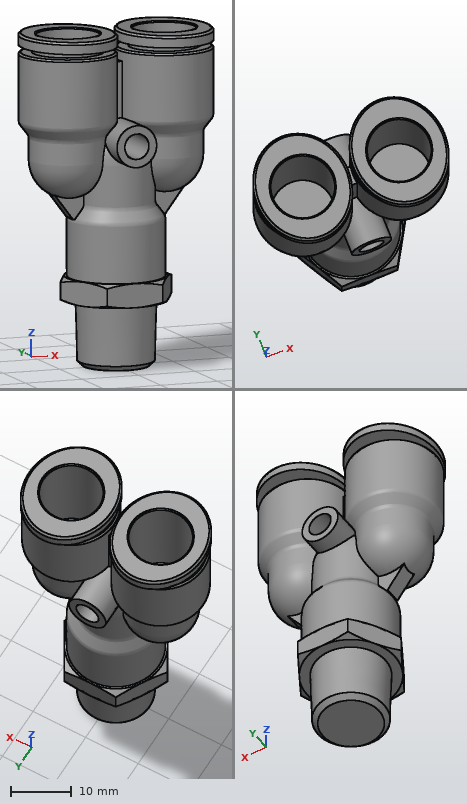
import cadquery as cq
import math

total_height = 56.0
leg_spacing = 17.0

wide_diameter = 16.3
wide_radius = wide_diameter / 2
narrow_radius = 6.5
flare_height = 2.1
flare_fillet = 1.1
flare_margin = 0.05

thread_length = 11.0
thread_top_radius = 6.7
thread_end_radius = 6.45
thread_chamfer_height = 0.9
thread_tip_radius = 5.5

hex_flats = 17.0
hex_height = 4.05
hex_corner_drop = 0.55

stem_base = thread_length + hex_height
stem_wide_length = 9.9
stem_narrow_length = 7.35

collar_length_x = 16.0
collar_length_y = 18.55
collar_height = 1.95
collar_chamfer = 0.4
neck_radius = 5.95
neck_height = 1.1
leg_top = total_height - collar_height - neck_height
leg_wide_length = 11.8
leg_narrow_length = 4.0
leg_rim_chamfer = 0.35
bore_radius = 5.25
bore_depth = 16.8
bore_chamfer = 0.2

lug_diameter = 7.0
lug_length = 18.7
lug_height = 38.0
lug_hole_diameter = 4.25

rib_thickness = 3.0
web_top = 50.95
gusset_start_drop = 0.1
gusset_slope = math.radians(53)


def domed_sleeve(wide_length, narrow_length):
    """Wide cylinder standing on Z = 0, flaring in to a narrow one with a round end."""
    flare_end = wide_length + flare_height
    dome_center = flare_end + narrow_length
    dome_mid = narrow_radius * math.sqrt(0.5)
    sleeve = (
        cq.Workplane("XZ")
        .lineTo(wide_radius, 0)
        .lineTo(wide_radius, wide_length)
        .lineTo(narrow_radius, flare_end)
        .lineTo(narrow_radius, dome_center)
        .threePointArc((dome_mid, dome_center + dome_mid), (0, dome_center + narrow_radius))
        .close()
        .revolve(360, (0, 0, 0), (0, 1, 0))
    )
    reach = 2 * wide_radius
    flare_zone = cq.selectors.BoxSelector(
        (-reach, -reach, wide_length - flare_margin),
        (reach, reach, flare_end + flare_margin),
        boundingbox=True,
    )
    flare_edges = sleeve.edges(flare_zone).edges("%CIRCLE")
    return flare_edges.fillet(flare_fillet)


def threaded_end():
    return (
        cq.Workplane("XZ")
        .lineTo(thread_tip_radius, 0)
        .lineTo(thread_end_radius, thread_chamfer_height)
        .lineTo(thread_top_radius, thread_length)
        .lineTo(0, thread_length)
        .close()
        .revolve(360, (0, 0, 0), (0, 1, 0))
    )


def hex_nut():
    flat_radius = hex_flats / 2
    corner_radius = flat_radius / math.cos(math.pi / 6)
    prism = (
        cq.Workplane("XY")
        .polygon(6, 2 * corner_radius)
        .extrude(hex_height)
    )
    corner_trim = (
        cq.Workplane("XZ")
        .lineTo(flat_radius, 0)
        .lineTo(corner_radius, hex_corner_drop)
        .lineTo(corner_radius, hex_height - hex_corner_drop)
        .lineTo(flat_radius, hex_height)
        .lineTo(0, hex_height)
        .close()
        .revolve(360, (0, 0, 0), (0, 1, 0))
    )
    return prism.intersect(corner_trim).translate((0, 0, thread_length))


def socket_leg(x):
    """Leg with its round end down, topped by a neck and an oval release collar."""
    sleeve = (
        domed_sleeve(leg_wide_length, leg_narrow_length)
        .rotate((0, 0, 0), (1, 0, 0), 180)
        .faces(">Z")
        .edges()
        .chamfer(leg_rim_chamfer)
        .translate((0, 0, leg_top))
    )
    neck = (
        cq.Workplane("XY", origin=(0, 0, leg_top))
        .circle(neck_radius)
        .extrude(neck_height)
    )
    collar = (
        cq.Workplane("XY", origin=(0, 0, leg_top + neck_height))
        .ellipse(collar_length_x / 2, collar_length_y / 2)
        .extrude(collar_height)
        .faces(">Z")
        .edges()
        .chamfer(collar_chamfer)
    )
    return sleeve.union(neck).union(collar).translate((x, 0, 0))


def socket_bore(x):
    bore = (
        cq.Workplane("XY", origin=(x, 0, total_height))
        .circle(bore_radius)
        .extrude(-bore_depth)
    )
    lead_in = (
        cq.Workplane("XY", origin=(x, 0, total_height))
        .circle(bore_radius + bore_chamfer)
        .workplane(offset=-bore_chamfer)
        .circle(bore_radius)
        .loft()
    )
    return bore.union(lead_in)


def rib_web():
    """Flat web between the legs, spreading into gussets under their round ends."""
    leg_dome_center = leg_top - leg_wide_length - flare_height - leg_narrow_length
    gusset_top = leg_dome_center - narrow_radius / 2
    foot = stem_base + stem_wide_length + gusset_start_drop
    gusset_reach = (gusset_top - foot) / math.tan(gusset_slope)
    gusset_x = wide_radius + gusset_reach
    gusset = (
        cq.Workplane("XZ")
        .moveTo(-wide_radius, foot)
        .lineTo(wide_radius, foot)
        .lineTo(gusset_x, gusset_top)
        .lineTo(-gusset_x, gusset_top)
        .close()
        .extrude(rib_thickness / 2, both=True)
    )
    web = (
        cq.Workplane("XY", origin=(0, 0, gusset_top))
        .rect(leg_spacing, rib_thickness)
        .extrude(web_top - gusset_top)
    )
    return gusset.union(web)


def lug_cylinder(diameter):
    return (
        cq.Workplane("XZ", origin=(0, 0, lug_height))
        .circle(diameter / 2)
        .extrude(lug_length / 2, both=True)
    )


stem = domed_sleeve(stem_wide_length, stem_narrow_length).translate((0, 0, stem_base))
leg_positions = (-leg_spacing / 2, leg_spacing / 2)

result = threaded_end().union(hex_nut()).union(stem).union(rib_web())
for leg_position in leg_positions:
    result = result.union(socket_leg(leg_position))
result = result.union(lug_cylinder(lug_diameter)).cut(lug_cylinder(lug_hole_diameter))
for leg_position in leg_positions:
    result = result.cut(socket_bore(leg_position))